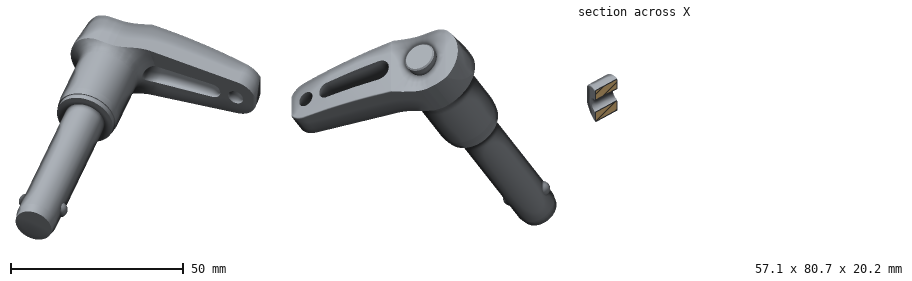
import cadquery as cq
import math

TOTAL_LENGTH = 80.7

pin_radius = 6.05
tip_radius = 5.5
tip_length = 2.7
ball_radius = 2.25
ball_reach = 7.35
ball_y = -72.1

barrel_radius = 9.1
flare_radius = 5.3
flare_end_y = -16.1
barrel_end_y = -31.5
collar_start_y = -33.6
collar_end_y = -35.1
collar_radius = 8.55
taper_end_radius = 8.9
flare_rim_radius = barrel_radius + flare_radius
flare_rim_y = flare_end_y + flare_radius

button_radius = 4.6
button_chamfer = 0.4
button_depth = 4.85

handle_left = -12.6
handle_right = 44.6
hub_half_width = 10.1
nose_end = (-3.9, 9.9)
hub_crown_x = -1.2
arm_start = (1.0, 10.0)
arm_end = (38.9, 6.3)

hub_top_y = -2.0
hub_flat_end_x = -7.4
dip_x = 0.5
dip_y = -2.9
crest_x = 9.3
crest_y = -0.6
arm_top_middle = (25.4, -1.85)
arm_tip_top = (43.4, -5.25)
arm_tip_bottom_y = -12.6
underside_slope_start_x = 11.45
tip_rounding = 0.8
top_edge_rounding = 0.4

nose_face_radius = 11.8
nose_face_lean = 1.1

slot_left_x = 10.0
slot_left_radius = 3.3
slot_right_x = 33.5
slot_right_radius = 2.6
hole_x = 38.25
hole_radius = 2.3

prism_depth = 24.2


def prism_along_y(outline):
    """Extrude an XZ outline toward the pin tip, past the handle."""
    return outline.extrude(prism_depth)


def make_handle_outline():
    def mirrored(point):
        return (point[0], -point[1])

    outline = (
        cq.Workplane("XZ")
        .moveTo(*mirrored(nose_end))
        .threePointArc((handle_left, 0), nose_end)
        .threePointArc((hub_crown_x, hub_half_width), arm_start)
        .lineTo(*arm_end)
        .threePointArc((handle_right, 0), mirrored(arm_end))
        .lineTo(*mirrored(arm_start))
        .threePointArc((hub_crown_x, -hub_half_width), mirrored(nose_end))
        .close()
    )
    return prism_along_y(outline)


def make_side_profile():
    return (
        cq.Workplane("XY")
        .moveTo(handle_left, flare_rim_y)
        .lineTo(handle_left, hub_top_y)
        .lineTo(hub_flat_end_x, hub_top_y)
        .spline([(dip_x, dip_y), (crest_x, crest_y)], tangents=[(1, 0), (1, 0.4)], includeCurrent=True)
        .threePointArc(arm_top_middle, arm_tip_top)
        .lineTo(handle_right, arm_tip_bottom_y)
        .lineTo(underside_slope_start_x, flare_rim_y)
        .close()
        .extrude(hub_half_width, both=True)
        .edges(cq.selectors.NearestToPointSelector((handle_right, arm_tip_bottom_y, 0)))
        .fillet(tip_rounding)
    )


def make_flare():
    arc_offset = flare_radius * (1 - math.sqrt(0.5))
    return (
        cq.Workplane("XY")
        .moveTo(0, flare_rim_y)
        .lineTo(flare_rim_radius, flare_rim_y)
        .threePointArc(
            (barrel_radius + arc_offset, flare_rim_y - arc_offset),
            (barrel_radius, flare_end_y),
        )
        .lineTo(0, flare_end_y)
        .close()
        .revolve(360, (0, 0, 0), (0, 1, 0))
    )


def make_nose_envelope():
    """Oblique cylinder leaning toward the arm, joined to a block that spares the rest."""
    lean_height = hub_top_y - flare_rim_y
    lean_per_length = nose_face_lean / lean_height
    bottom_center_x = handle_left + nose_face_radius
    top_center_x = bottom_center_x - flare_rim_y * lean_per_length
    envelope = (
        cq.Workplane("XZ")
        .center(top_center_x, 0)
        .circle(nose_face_radius)
        .workplane(offset=-flare_rim_y)
        .center(bottom_center_x - top_center_x, 0)
        .circle(nose_face_radius)
        .loft(ruled=True)
    )
    below = prism_along_y(
        cq.Workplane("XZ", origin=(0, flare_rim_y, 0)).rect(2 * handle_right, 4 * hub_half_width)
    )
    arm_side = prism_along_y(
        cq.Workplane("XZ").center(handle_right / 2, 0).rect(handle_right, 4 * hub_half_width)
    )
    return envelope.union(below).union(arm_side)


def make_slot():
    """Tapered slot whose straight sides are tangent to both rounded ends."""
    left_center = slot_left_x + slot_left_radius
    right_center = slot_right_x - slot_right_radius
    sine = (slot_left_radius - slot_right_radius) / (right_center - left_center)
    cosine = math.sqrt(1 - sine**2)

    def tangent_point(center, radius, side):
        return (center + radius * sine, side * radius * cosine)

    outline = (
        cq.Workplane("XZ")
        .moveTo(*tangent_point(left_center, slot_left_radius, -1))
        .threePointArc((slot_left_x, 0), tangent_point(left_center, slot_left_radius, 1))
        .lineTo(*tangent_point(right_center, slot_right_radius, 1))
        .threePointArc((slot_right_x, 0), tangent_point(right_center, slot_right_radius, -1))
        .close()
    )
    return prism_along_y(outline)


def make_handle():
    body = make_side_profile().union(make_flare())
    body = body.intersect(make_handle_outline()).intersect(make_nose_envelope())
    top_edges = body.faces(cq.selectors.NearestToPointSelector((*arm_top_middle, 0))).edges("not |Z")
    body = top_edges.fillet(top_edge_rounding)
    hole = prism_along_y(cq.Workplane("XZ").center(hole_x, 0).circle(hole_radius))
    return body.cut(make_slot()).cut(hole)


def make_barrel_and_pin():
    return (
        cq.Workplane("XY")
        .polyline([
            (0, flare_end_y),
            (barrel_radius, flare_end_y),
            (barrel_radius, barrel_end_y),
            (taper_end_radius, collar_start_y),
            (collar_radius, collar_start_y),
            (collar_radius, collar_end_y),
            (pin_radius, collar_end_y),
            (pin_radius, tip_length - TOTAL_LENGTH),
            (tip_radius, -TOTAL_LENGTH),
            (0, -TOTAL_LENGTH),
        ])
        .close()
        .revolve(360, (0, 0, 0), (0, 1, 0))
    )


def make_button():
    button = cq.Workplane("XZ").circle(button_radius).extrude(button_depth)
    return button.faces(">Y").chamfer(button_chamfer)


result = make_handle().union(make_barrel_and_pin()).union(make_button())
for side in (-1, 1):
    ball_x = side * (ball_reach - ball_radius)
    ball = cq.Workplane("XY").sphere(ball_radius).translate((ball_x, ball_y, 0))
    result = result.union(ball)